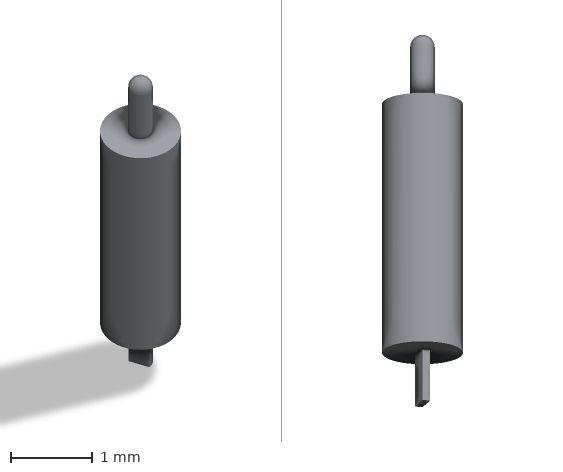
import cadquery as cq

total_length = 4.7
housing_diameter = 0.99
housing_length = 3.172
pin_diameter = 0.3
tail_length = 0.65
tail_thickness = 0.1

pin_radius = pin_diameter / 2
shank_length = total_length - tail_length - pin_radius


def make_housing():
    """Plain sleeve with a through bore that fits the pin shank."""
    return (
        cq.Workplane("XY")
        .workplane(offset=tail_length)
        .circle(housing_diameter / 2)
        .circle(pin_radius)
        .extrude(housing_length)
    )


def make_tail():
    """Round bar flattened on its two Y sides, keeping rounded X edges."""
    round_bar = cq.Workplane("XY").circle(pin_radius).extrude(tail_length)
    flat_strip = cq.Workplane("XY").rect(pin_diameter, tail_thickness).extrude(tail_length)
    return round_bar.intersect(flat_strip)


def make_pin():
    """Flat tail, round shank through the housing and a hemispherical tip."""
    shank = cq.Workplane("XY").workplane(offset=tail_length).circle(pin_radius).extrude(shank_length)
    tip = cq.Workplane("XY").workplane(offset=tail_length + shank_length).sphere(pin_radius)
    return shank.union(tip).union(make_tail())


housing = make_housing()
pin = make_pin()

result = cq.Compound.makeCompound([housing.val(), pin.val()])